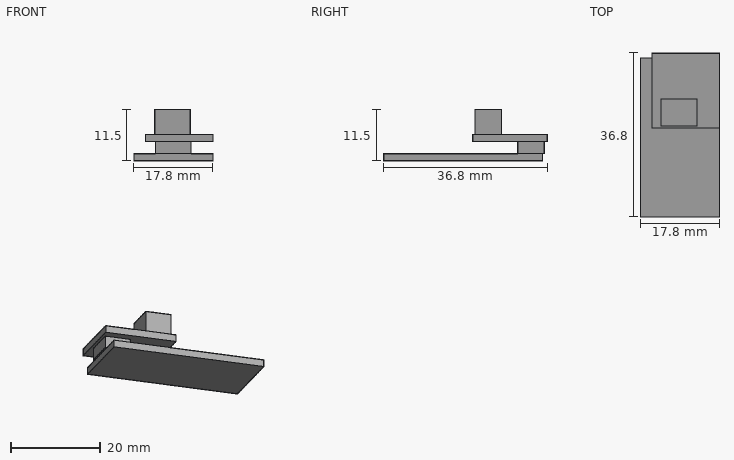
import cadquery as cq

total_length = 36.75
base_width = 17.75
board_thickness = 1.6

upper_width = 15.18
upper_length = 16.75
upper_overhang = 1.05

connector_width = 8.0
connector_length = 6.0
lower_connector_height = 2.72
top_connector_height = 5.6

lower_connector_left = 4.8
lower_connector_back_inset = 0.7
top_connector_left_inset = 2.05
top_connector_front_inset = 0.48

base_length = total_length - upper_overhang
upper_left = base_width - upper_width
upper_front = total_length - upper_length
lower_connector_front = total_length - lower_connector_back_inset - connector_length
upper_bottom = board_thickness + lower_connector_height
upper_top = upper_bottom + board_thickness


def block(size, corner):
    """Box with its left, front, bottom corner at the given point."""
    return cq.Workplane("XY").box(*size, centered=False).translate(corner)


base_board = block((base_width, base_length, board_thickness), (0, 0, 0))

lower_connector = block(
    (connector_width, connector_length, lower_connector_height),
    (lower_connector_left, lower_connector_front, board_thickness),
)

upper_board = block(
    (upper_width, upper_length, board_thickness),
    (upper_left, upper_front, upper_bottom),
)

top_connector = block(
    (connector_width, connector_length, top_connector_height),
    (
        upper_left + top_connector_left_inset,
        upper_front + top_connector_front_inset,
        upper_top,
    ),
)

result = base_board.union(lower_connector).union(upper_board).union(top_connector)